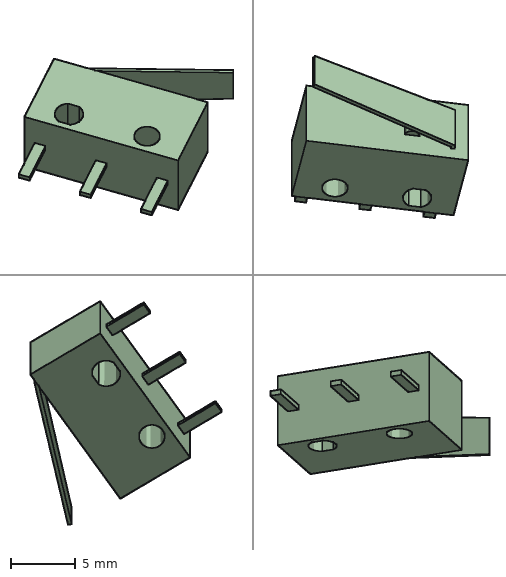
import cadquery as cq
import math

OVERALL_Y = 15.0

HOUSING_LENGTH = 12.8
HOUSING_DEPTH = 6.5
HOUSING_HEIGHT = 5.8

TERMINAL_PITCH = 5.08
TERMINAL_WIDTH = 0.9
TERMINAL_THICKNESS = 0.4
TERMINAL_LENGTH = 3.5

HOLE_PITCH = 6.5
HOLE_Y = 1.5
ROUND_HOLE_DIAMETER = 2.0
FLATTED_HOLE_DIAMETER = 2.2
FLATTED_HOLE_HEIGHT = ROUND_HOLE_DIAMETER

BUTTON_X = -1.96
BUTTON_RADIUS = 0.58
BUTTON_RISE = 0.5
BUTTON_WIDTH = 2.0

LEVER_X = -5.31
LEVER_THICKNESS = 0.3
LEVER_BEND_RISE = 0.36
LEVER_ANGLE = math.radians(21.3)
LEVER_BASE_WIDTH = 3.8
LEVER_TIP_WIDTH = 3.0
LEVER_RISE = OVERALL_Y - HOUSING_DEPTH - TERMINAL_LENGTH


def make_button():
    """Round-topped bar, its axis along Z, partly sunk into the housing."""
    axis_y = HOUSING_DEPTH + BUTTON_RISE - BUTTON_RADIUS
    return (
        cq.Workplane("XY")
        .center(BUTTON_X, axis_y)
        .circle(BUTTON_RADIUS)
        .extrude(BUTTON_WIDTH / 2, both=True)
    )


def make_terminals():
    """Three flat terminals, each standing out from the housing toward -Y."""
    return (
        cq.Workplane("XY")
        .pushPoints([(i * TERMINAL_PITCH, -TERMINAL_LENGTH / 2) for i in (-1, 0, 1)])
        .rect(TERMINAL_WIDTH, TERMINAL_LENGTH)
        .extrude(TERMINAL_THICKNESS / 2, both=True)
    )


def make_mounting_holes():
    """Cutters for the round hole and the hole with two flats, both right through."""
    plane = cq.Workplane("XY")
    half_height = HOUSING_HEIGHT / 2
    round_hole = (
        plane.center(HOLE_PITCH / 2, HOLE_Y)
        .circle(ROUND_HOLE_DIAMETER / 2)
        .extrude(half_height, both=True)
    )
    flatted_plane = plane.center(-HOLE_PITCH / 2, HOLE_Y)
    flatted_hole = flatted_plane.circle(FLATTED_HOLE_DIAMETER / 2).extrude(half_height, both=True)
    between_flats = flatted_plane.rect(FLATTED_HOLE_DIAMETER, FLATTED_HOLE_HEIGHT).extrude(
        half_height, both=True
    )
    return round_hole.union(flatted_hole.intersect(between_flats))


def make_switch_body():
    """Housing with its terminals and button as one solid."""
    block = (
        cq.Workplane("XY")
        .center(0, HOUSING_DEPTH / 2)
        .rect(HOUSING_LENGTH, HOUSING_DEPTH)
        .extrude(HOUSING_HEIGHT / 2, both=True)
    )
    return block.union(make_button()).union(make_terminals()).cut(make_mounting_holes())


def make_lever():
    """Bent strip standing on the housing, narrowing evenly from the housing to the tip."""
    bend_y = HOUSING_DEPTH + LEVER_BEND_RISE
    tip_y = HOUSING_DEPTH + LEVER_RISE
    tip_x = LEVER_X + (tip_y - bend_y) / math.tan(LEVER_ANGLE)
    inner_x = LEVER_X + LEVER_THICKNESS
    inner_bend_y = (
        bend_y + LEVER_THICKNESS * math.tan(LEVER_ANGLE) - LEVER_THICKNESS / math.cos(LEVER_ANGLE)
    )
    strip = (
        cq.Workplane("XY")
        .moveTo(LEVER_X, HOUSING_DEPTH)
        .lineTo(LEVER_X, bend_y)
        .lineTo(tip_x, tip_y)
        .lineTo(
            tip_x + LEVER_THICKNESS * math.sin(LEVER_ANGLE),
            tip_y - LEVER_THICKNESS * math.cos(LEVER_ANGLE),
        )
        .lineTo(inner_x, inner_bend_y)
        .lineTo(inner_x, HOUSING_DEPTH)
        .close()
        .extrude(LEVER_BASE_WIDTH / 2, both=True)
    )
    half_base = LEVER_BASE_WIDTH / 2
    half_tip = LEVER_TIP_WIDTH / 2
    taper = (
        cq.Workplane("YZ")
        .polyline([
            (HOUSING_DEPTH, -half_base),
            (tip_y, -half_tip),
            (tip_y, half_tip),
            (HOUSING_DEPTH, half_base),
        ])
        .close()
        .extrude(HOUSING_LENGTH, both=True)
    )
    return strip.intersect(taper)


switch_body = make_switch_body()
lever = make_lever()

result = cq.Compound.makeCompound([switch_body.solids().val(), lever.solids().val()])